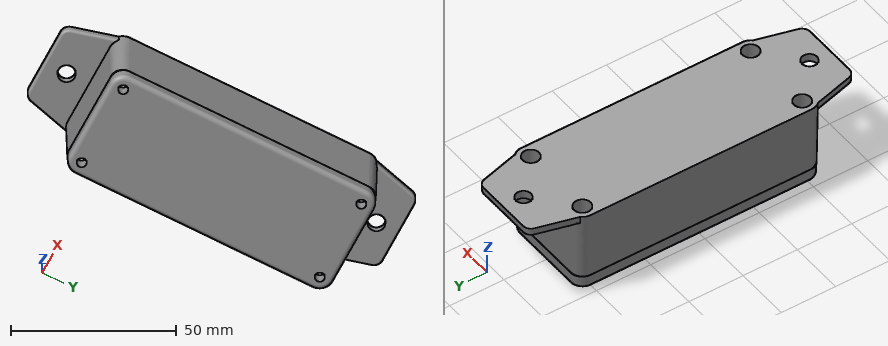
import cadquery as cq
import math

top_width = 36.37
top_length = 90.4
total_height = 30.0
cover_height = 5.0
wall_flare = 0.4

joint_width = top_width - 2 * wall_flare
joint_length = top_length - 2 * wall_flare
housing_height = total_height - cover_height
draft_angle = math.degrees(math.atan(wall_flare / housing_height))

housing_corner_radius = 4.0
cover_corner_radius = 4.5
cover_edge_radius = 1.5
flange_tip_radius = 3.0
flange_edge_radius = 0.8

flange_length = 120.37
flange_tip_width = 25.2
flange_side_angle = 15.0
flange_root_depth = 3.0
flange_thickness = 3.0
mount_hole_diameter = 5.5
mount_hole_spacing = 105.4

screw_spacing_x = 27.0
screw_spacing_y = 81.0
screw_hole_diameter = 3.0
screw_recess_depth = 20.0
screw_recess_top_diameter = 6.0
screw_recess_floor_diameter = 5.4


def drill_screw_holes(body):
    """Cut the four screw holes through the full height."""
    holes = (
        cq.Workplane("XY")
        .rect(screw_spacing_x, screw_spacing_y, forConstruction=True)
        .vertices()
        .circle(screw_hole_diameter / 2)
        .extrude(total_height)
    )
    return body.cut(holes)


def make_flange():
    """Plate with two tapering ends, running through the top of the housing."""
    half_tip = flange_tip_width / 2
    half_length = flange_length / 2
    root_y = joint_length / 2 - flange_root_depth
    half_root = half_tip + (half_length - root_y) * math.tan(math.radians(flange_side_angle))
    outline = [
        (half_tip, half_length),
        (half_root, root_y),
        (half_root, -root_y),
        (half_tip, -half_length),
        (-half_tip, -half_length),
        (-half_root, -root_y),
        (-half_root, root_y),
        (-half_tip, half_length),
    ]
    plate = (
        cq.Workplane("XY")
        .workplane(offset=total_height - flange_thickness)
        .polyline(outline)
        .close()
        .extrude(flange_thickness)
    )
    plate = plate.edges("|Z").edges("<Y or >Y").fillet(flange_tip_radius)
    return plate.faces("<Z").edges().fillet(flange_edge_radius)


def make_screw_recess():
    """Slightly tapered recess for a screw head, pointing down from z = 0."""
    return (
        cq.Workplane("XY")
        .circle(screw_recess_top_diameter / 2)
        .workplane(offset=-screw_recess_depth)
        .circle(screw_recess_floor_diameter / 2)
        .loft()
    )


def make_housing():
    """Flaring box with the mounting flange at its top."""
    housing = (
        cq.Workplane("XY")
        .workplane(offset=cover_height)
        .sketch()
        .rect(joint_width, joint_length)
        .vertices()
        .fillet(housing_corner_radius)
        .finalize()
        .extrude(housing_height, taper=-draft_angle)
    )
    housing = housing.union(make_flange())
    mount_holes = (
        cq.Workplane("XY")
        .workplane(offset=total_height - flange_thickness)
        .pushPoints([(0, -mount_hole_spacing / 2), (0, mount_hole_spacing / 2)])
        .circle(mount_hole_diameter / 2)
        .extrude(flange_thickness)
    )
    housing = housing.cut(mount_holes)
    for side_x in (-1, 1):
        for side_y in (-1, 1):
            place = (side_x * screw_spacing_x / 2, side_y * screw_spacing_y / 2, total_height)
            housing = housing.cut(make_screw_recess().translate(place))
    return drill_screw_holes(housing)


def make_cover():
    """Plate that closes the housing from below, with a rounded bottom edge."""
    cover = (
        cq.Workplane("XY")
        .rect(joint_width, joint_length)
        .extrude(cover_height)
        .edges("|Z")
        .fillet(cover_corner_radius)
        .faces("<Z")
        .edges()
        .fillet(cover_edge_radius)
    )
    return drill_screw_holes(cover)


housing = make_housing()
cover = make_cover()

result = cq.Compound.makeCompound([housing.val(), cover.val()])